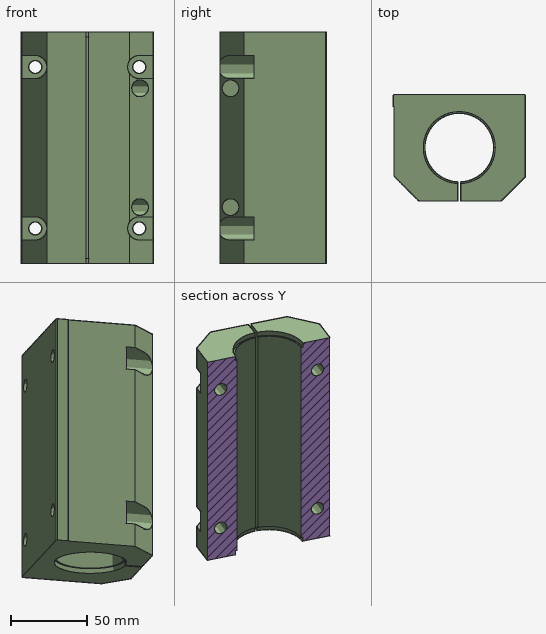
import cadquery as cq

length = 152.0
depth = 70.0
body_width = 86.3
half_width = body_width / 2
right_chamfer = 15.8
left_chamfer = 16.4

edge_height = 0.6
edge_depth = 8.0
back_chamfer = 0.8

pattern_x = -0.3

bore_diameter = 45.0
recess_diameter = 47.3
recess_depth = 3.2
bore_y = 35.1
slit_width = 1.7

bolt_diameter = 8.4
bolt_spacing_x = 68.2
bolt_spacing_z = 106.0
seat_width = 15.2
seat_depth = 22.3

clamp_diameter = 11.0
clamp_spacing_z = 78.0
clamp_y = 7.0
clamp_depth = 16.0


def make_block():
    left_edge = -half_width - edge_height
    outline = [
        (-half_width + left_chamfer, 0),
        (half_width - right_chamfer, 0),
        (half_width, right_chamfer),
        (half_width, depth - back_chamfer),
        (half_width - back_chamfer, depth),
        (left_edge + back_chamfer, depth),
        (left_edge, depth - back_chamfer),
        (left_edge, depth - edge_depth),
        (-half_width, depth - edge_depth),
        (-half_width, left_chamfer),
    ]
    return cq.Workplane("XY").polyline(outline).close().extrude(length)


def make_bore():
    axis = cq.Workplane("XY").center(pattern_x, bore_y)
    bore = axis.circle(bore_diameter / 2).extrude(length)
    lower_recess = axis.circle(recess_diameter / 2).extrude(recess_depth)
    upper_recess = lower_recess.translate((0, 0, length - recess_depth))
    slit = (
        cq.Workplane("XY")
        .center(pattern_x, bore_y / 2)
        .rect(slit_width, bore_y)
        .extrude(length)
    )
    return bore.union(lower_recess).union(upper_recess).union(slit)


def make_bolt_seat(side, z):
    """Through hole and round-ended seat that opens out of the given side (-1 left, 1 right)."""
    x = pattern_x + side * bolt_spacing_x / 2
    axis = cq.Workplane("XZ").center(x, z)
    hole = axis.circle(bolt_diameter / 2).extrude(-depth)
    round_end = axis.circle(seat_width / 2).extrude(-seat_depth)
    run_out = axis.center(side * seat_width / 2, 0).rect(seat_width, seat_width).extrude(-seat_depth)
    return hole.union(round_end).union(run_out)


def make_clamp_bore(z):
    return (
        cq.Workplane("YZ", origin=(half_width - clamp_depth, clamp_y, z))
        .circle(clamp_diameter / 2)
        .extrude(clamp_depth)
    )


result = make_block().cut(make_bore())

for end in (-1, 1):
    for side in (-1, 1):
        result = result.cut(make_bolt_seat(side, length / 2 + end * bolt_spacing_z / 2))
    result = result.cut(make_clamp_bore(length / 2 + end * clamp_spacing_z / 2))